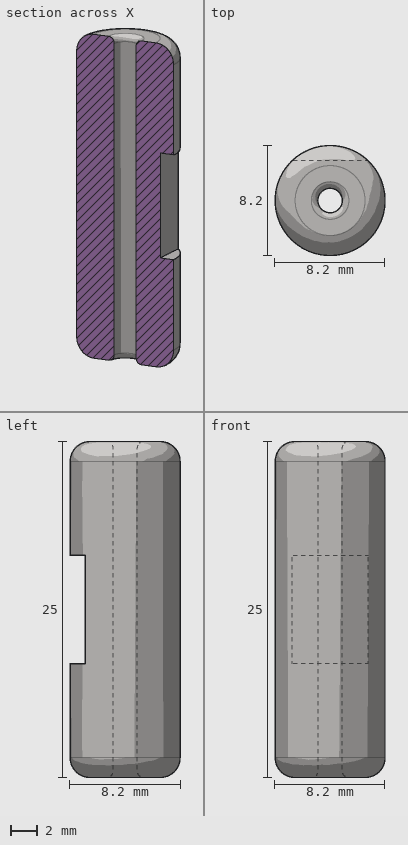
import cadquery as cq

length = 25.0
diameter = 8.2
end_fillet = 1.5

bore_diameter = 1.8
bore_fillet = 0.5

flat_length = 8.05
flat_depth = 1.12


def make_body():
    """Cylinder along Z with rounded ends, resting on Z = 0."""
    body = cq.Workplane("XY").circle(diameter / 2).extrude(length)
    return body.edges("%CIRCLE").fillet(end_fillet)


def cut_bore(body):
    """Drill the axial hole and round both of its mouths."""
    drilled = body.faces(">Z").workplane().hole(bore_diameter)
    mouths = drilled.edges(cq.selectors.RadiusNthSelector(0))
    return mouths.fillet(bore_fillet)


def cut_flat(body):
    """Remove a straight-walled notch, leaving a flat floor facing +Y."""
    floor_y = diameter / 2 - flat_depth
    notch = (
        cq.Workplane("XY")
        .box(diameter, flat_depth, flat_length, centered=(True, False, True))
        .translate((0, floor_y, length / 2))
    )
    return body.cut(notch)


result = cut_flat(cut_bore(make_body()))